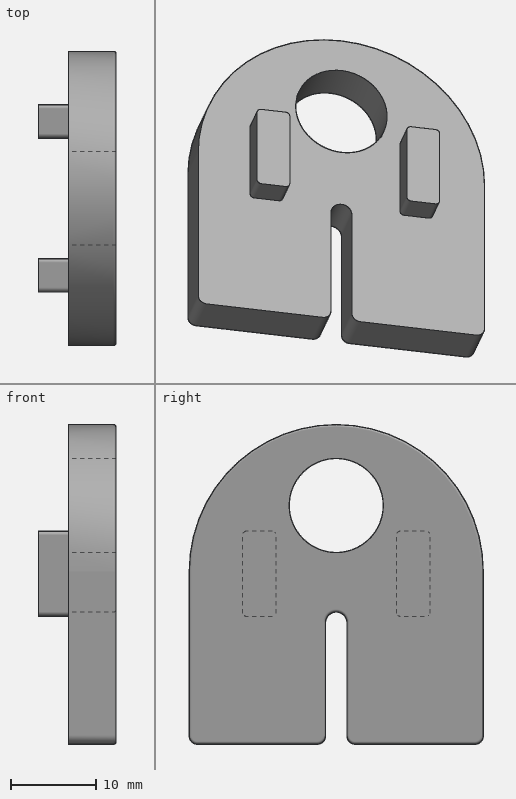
import cadquery as cq

plate_width = 34.5
plate_height = 37.5
plate_thickness = 5.6
top_radius = plate_width / 2
arch_center_z = plate_height - top_radius
corner_radius = 1.0
back_edge_radius = 0.3

hole_diameter = 11.0
hole_center_z = 28.0

slot_width = 2.5
slot_height = 15.5

peg_length = 3.5
peg_width = 3.95
peg_height = 10.0
peg_outer_span = 22.0
peg_center_y = (peg_outer_span - peg_width) / 2
peg_center_z = 20.0
peg_corner_radius = 0.5


def make_plate():
    """Slotted arch outline, drawn in the YZ plane and extruded toward +X."""
    half_width = plate_width / 2
    half_slot = slot_width / 2
    slot_arc_z = slot_height - half_slot
    plate = (
        cq.Workplane("YZ")
        .moveTo(-half_width, 0)
        .lineTo(-half_slot, 0)
        .lineTo(-half_slot, slot_arc_z)
        .threePointArc((0, slot_height), (half_slot, slot_arc_z))
        .lineTo(half_slot, 0)
        .lineTo(half_width, 0)
        .lineTo(half_width, arch_center_z)
        .threePointArc((0, plate_height), (-half_width, arch_center_z))
        .close()
        .extrude(plate_thickness)
    )
    bottom_corners = plate.faces("<Z").edges("|X")
    return bottom_corners.fillet(corner_radius)


def round_back_edge(plate):
    """Round over the rim of the back face, including its run around the slot."""
    return plate.faces(">X").edges().fillet(back_edge_radius)


def cut_hole(plate):
    """Cut the round hole; its rims stay sharp."""
    hole = (
        cq.Workplane("YZ")
        .center(0, hole_center_z)
        .circle(hole_diameter / 2)
        .extrude(plate_thickness)
    )
    return plate.cut(hole)


def make_peg(center_y):
    """Rectangular peg with rounded long edges, from the front face toward -X."""
    return (
        cq.Workplane("YZ")
        .center(center_y, peg_center_z)
        .rect(peg_width, peg_height)
        .extrude(-peg_length)
        .edges("|X")
        .fillet(peg_corner_radius)
    )


result = cut_hole(round_back_edge(make_plate()))
for side in (-1, 1):
    result = result.union(make_peg(side * peg_center_y))